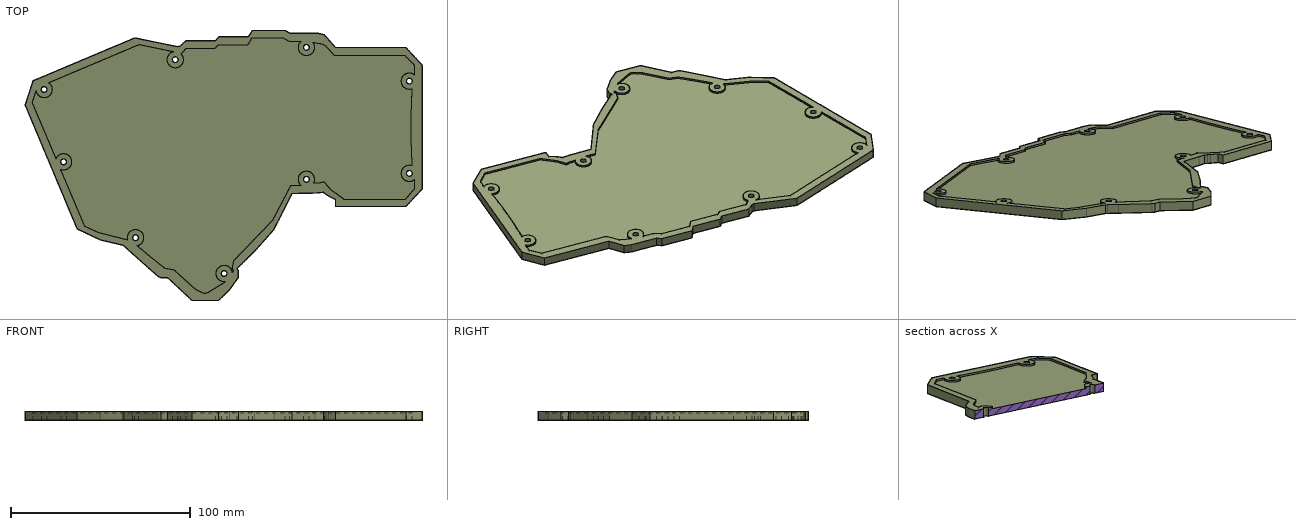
import cadquery as cq

length = 221.4
width = 150.5
thickness = 5.0
pocket_depth = 1.0
hole_diameter = 3.0
boss_diameter = 9.0

tab_left = 172.9
tab_bottom = 52.2
tab_top = 141.0
chamfer_x = 9.3
chamfer_y = 10.0
tab_wall = 4.5
pocket_right = length - tab_wall
pocket_corner_x = 211.5
bow_end_x = 215.8

tab_screw_x = 214.0
tab_screw_low_y = 70.8
tab_screw_high_y = 122.2
mid_screw_x = 156.7
screw_centers = [
    (10.6, 117.5),
    (83.7, 134.1),
    (21.5, 77.3),
    (61.5, 35.0),
    (111.0, 15.0),
    (mid_screw_x, 67.5),
    (mid_screw_x, 141.0),
    (tab_screw_x, tab_screw_low_y),
    (tab_screw_x, tab_screw_high_y),
]

outer_points = [
    (0, 109.0),
    (4.5, 122.5),
    (61.0, 146.3),
    (85.0, 141.5),
    (86.5, 141.9),
    (89.6, 144.8),
    (106.0, 144.8),
    (108.0, 147.0),
    (124.5, 147.0),
    (126.6, width),
    (144.8, width),
    (147.5, 149.0),
    (163.0, 149.0),
    (166.7, 148.0),
    (tab_left, tab_top),
    (length - chamfer_x, tab_top),
    (length, tab_top - chamfer_y),
    (length, tab_bottom + chamfer_y),
    (length - chamfer_x, tab_bottom),
    (tab_left, tab_bottom),
    (tab_left, 56.2),
    (169.0, 58.2),
    (167.5, 59.0),
    (166.2, 60.2),
    (161.4, 59.8),
    (148.7, 59.5),
    (138.5, 39.5),
    (128.0, 27.5),
    (118.0, 17.7),
    (118.9, 16.8),
    (118.9, 12.8),
    (113.8, 5.8),
    (107.8, 0),
    (93.0, 0),
    (79.5, 12.6),
    (75.7, 12.6),
    (74.0, 13.5),
    (60.0, 26.0),
    (55.3, 30.0),
    (54.5, 30.8),
    (42.0, 33.6),
    (29.0, 39.8),
]

pocket_start = (4.0, 110.2)
pocket_upper_points = [
    (7.0, 120.0),
    (10.6, 120.2),
    (63.5, 142.5),
    (82.5, 138.5),
    (86.0, 136.4),
    (89.6, 140.3),
    (105.5, 140.3),
    (107.5, 142.3),
    (124.0, 142.3),
    (126.5, 146.3),
    (143.5, 146.3),
    (147.2, 144.3),
    (156.5, 144.3),
    (164.7, 143.0),
    (167.1, 142.0),
    (172.5, 136.4),
    (pocket_corner_x, 136.4),
    (pocket_right, 131.0),
    (pocket_right, tab_screw_high_y),
    (bow_end_x, tab_screw_high_y),
]
bow_middle = (215.0, (tab_screw_low_y + tab_screw_high_y) / 2)
bow_end = (bow_end_x, tab_screw_low_y)
pocket_lower_points = [
    (pocket_right, tab_screw_low_y),
    (pocket_right, 62.2),
    (pocket_corner_x, 56.2),
    (178.0, 56.2),
    (170.2, 61.8),
    (166.5, 66.2),
    (164.0, 65.5),
    (159.8, 65.3),
    (156.5, 64.2),
    (148.0, 64.2),
    (138.0, 44.7),
    (116.2, 22.1),
    (115.3, 18.0),
    (116.2, 16.5),
    (115.3, 15.5),
    (111.0, 15.0),
    (111.3, 10.2),
    (102.3, 4.6),
    (100.5, 4.0),
    (99.0, 4.2),
    (94.7, 6.5),
    (83.0, 17.0),
    (78.0, 18.0),
    (69.3, 24.8),
    (62.2, 30.8),
    (57.5, 33.6),
    (41.0, 37.9),
    (33.2, 41.5),
]


def make_pocket():
    """Shallow recess in the top face, with screw bosses left standing."""
    floor_z = thickness - pocket_depth
    recess = (
        cq.Workplane("XY", origin=(0, 0, floor_z))
        .moveTo(*pocket_start)
        .polyline(pocket_upper_points, includeCurrent=True)
        .threePointArc(bow_middle, bow_end)
        .polyline(pocket_lower_points, includeCurrent=True)
        .close()
        .extrude(pocket_depth)
    )
    bosses = (
        cq.Workplane("XY", origin=(0, 0, floor_z))
        .pushPoints(screw_centers)
        .circle(boss_diameter / 2)
        .extrude(pocket_depth)
    )
    return recess.cut(bosses)


def make_screw_holes():
    return (
        cq.Workplane("XY")
        .pushPoints(screw_centers)
        .circle(hole_diameter / 2)
        .extrude(thickness)
    )


plate = cq.Workplane("XY").polyline(outer_points).close().extrude(thickness)
result = plate.cut(make_pocket()).cut(make_screw_holes())